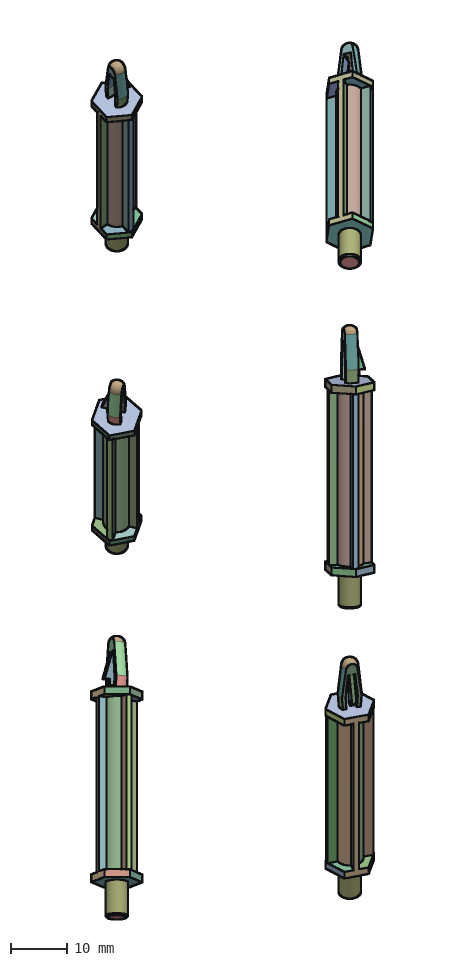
import cadquery as cq
import math

total_height = 51.6
pin_length = 6.45
plate_thickness = 1.45
upper_plate_top = 41.45

hex_across_flats = 7.9
hex_across_corners = hex_across_flats / math.cos(math.pi / 6)

pin_diameter = 4.0
pin_chamfer = 0.3

core_diameter = 4.95
rib_thickness = 1.05
rib_span_x = 8.6
rib_span_y = hex_across_flats

head_thickness = 2.3
head_base_radius = pin_diameter / 2
head_bulge_radius = 2.15
head_bulge_z = 43.9
dome_radius = 1.55
dome_height = 1.35
leg_thickness = 1.05
slot_top_z = 48.65

tongue_width = 0.8
tongue_front_y = 0.6
tongue_back_y = 1.65
tongue_bottom_z = 42.35
tongue_root_radius = 1.05
barb_tip_y = 2.75
barb_bottom_z = 43.45
barb_top_z = 48.5

column_bottom = pin_length + plate_thickness
column_top = upper_plate_top - plate_thickness
column_height = column_top - column_bottom
dome_base_z = total_height - dome_height
head_half = head_thickness / 2


def hex_plate(bottom_z):
    """Hexagonal plate with two corners on the X axis."""
    return (
        cq.Workplane("XY", origin=(0, 0, bottom_z))
        .polygon(6, hex_across_corners)
        .extrude(plate_thickness)
    )


def make_pin():
    return (
        cq.Workplane("XY")
        .circle(pin_diameter / 2)
        .extrude(pin_length)
        .faces("<Z")
        .chamfer(pin_chamfer)
    )


def make_column():
    """Round core with four ribs along X and Y."""
    base = cq.Workplane("XY", origin=(0, 0, column_bottom))
    core = base.circle(core_diameter / 2).extrude(column_height)
    rib_x = base.rect(rib_span_x, rib_thickness).extrude(column_height)
    rib_y = base.rect(rib_thickness, rib_span_y).extrude(column_height)
    return core.union(rib_x).union(rib_y)


def make_head():
    """Domed, tapered head with flat sides and a slot that leaves two legs."""
    sphere_radius = (dome_radius**2 + dome_height**2) / (2 * dome_height)
    half_angle = math.asin(dome_radius / sphere_radius) / 2
    dome_mid = (
        sphere_radius * math.sin(half_angle),
        total_height - sphere_radius * (1 - math.cos(half_angle)),
    )
    body = (
        cq.Workplane("XZ")
        .moveTo(0, upper_plate_top)
        .lineTo(head_base_radius, upper_plate_top)
        .lineTo(head_bulge_radius, head_bulge_z)
        .lineTo(dome_radius, dome_base_z)
        .threePointArc(dome_mid, (0, total_height))
        .close()
        .revolve(360, (0, 0, 0), (0, 1, 0))
    )
    slice_height = total_height - upper_plate_top
    flat_slice = (
        cq.Workplane("XY", origin=(0, 0, upper_plate_top))
        .rect(2 * head_bulge_radius, head_thickness)
        .extrude(slice_height)
    )

    taper = (head_bulge_radius - dome_radius) / (dome_base_z - head_bulge_z)
    outer_at_slot_top = head_bulge_radius - taper * (slot_top_z - head_bulge_z)
    wall = [
        (head_base_radius - leg_thickness, upper_plate_top),
        (head_bulge_radius - leg_thickness, head_bulge_z),
        (outer_at_slot_top - leg_thickness, slot_top_z),
    ]
    mirrored_wall = [(-x, z) for x, z in reversed(wall)]
    slot = (
        cq.Workplane("XZ")
        .polyline(wall + mirrored_wall)
        .close()
        .extrude(head_half, both=True)
    )
    return body.intersect(flat_slice).cut(slot)


def make_tongue():
    """Tongue with a rounded root in front and a sloped barb at the back."""
    root_y = tongue_front_y - tongue_root_radius
    root_z = slot_top_z - tongue_root_radius
    arc_offset = tongue_root_radius * math.sqrt(0.5)
    arc_mid = (root_y + arc_offset, root_z + arc_offset)
    return (
        cq.Workplane("YZ")
        .moveTo(root_y, slot_top_z)
        .threePointArc(arc_mid, (tongue_front_y, root_z))
        .lineTo(tongue_front_y, tongue_bottom_z)
        .lineTo(tongue_back_y, tongue_bottom_z)
        .lineTo(tongue_back_y, barb_bottom_z)
        .lineTo(barb_tip_y, barb_bottom_z)
        .lineTo(head_half, barb_top_z)
        .lineTo(head_half, slot_top_z)
        .close()
        .extrude(tongue_width / 2, both=True)
    )


result = (
    make_pin()
    .union(hex_plate(pin_length))
    .union(make_column())
    .union(hex_plate(column_top))
    .union(make_head())
    .union(make_tongue())
)